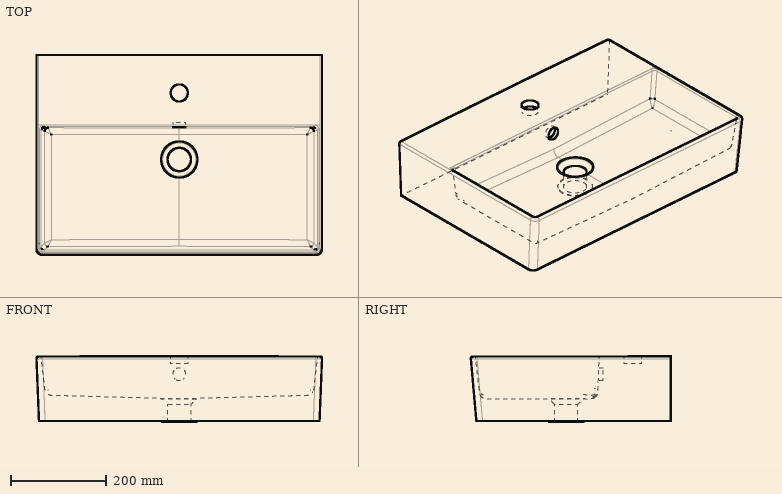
import cadquery as cq
import math

WIDTH = 599.5
DEPTH = 419.5
RIM_HEIGHT = 135.5
SIDE_DRAFT = 5.5
FRONT_DRAFT = 12.0
CORNER_RADIUS = 13.0
RIM_ROUND = 5.0
BASE_ROUND = 1.0

RIM_WIDTH = 9.5
BOWL_BACK = 150.5
BOWL_SIDE_DEPTH = 81.0
BOWL_CENTRE_DEPTH = 89.0
BOWL_WALL_DRAFT = 10.0
BOWL_BACK_DRAFT = 3.0
BOWL_CORNER_RADIUS = 7.0
BOWL_FLOOR_ROUND = 14.5
BOWL_EDGE_ROUND = 3.5

DECK_CROWN = 1.0
DECK_LAYER = 6.0

DRAIN_FROM_BACK = 219.5
DRAIN_DIAMETER = 48.5
DRAIN_MOUTH_DIAMETER = 72.5
DRAIN_MOUTH_DEPTH = 12.0
DRAIN_MOUTH_BLEND = 2.0
DRAIN_BOSS_DIAMETER = 73.0
DRAIN_BOSS_HEIGHT = 2.0

TAP_FROM_BACK = 80.0
TAP_DIAMETER = 36.0
TAP_DEPTH = 14.5
OVERFLOW_DIAMETER = 27.0
OVERFLOW_BELOW_RIM = 37.0
OVERFLOW_DEPTH = 8.5


def loft_between(lower, upper):
    """Ruled solid between two closed outlines."""
    return cq.Workplane(cq.Solid.makeLoft([lower, upper], True))


def rectangle(half_width, front, back, z):
    """Horizontal rectangle, symmetric about x = 0."""
    corners = [
        cq.Vector(-half_width, front, z),
        cq.Vector(half_width, front, z),
        cq.Vector(half_width, back, z),
        cq.Vector(-half_width, back, z),
    ]
    return cq.Wire.makePolygon(corners, close=True)


def rim_overhang(draft):
    """How far a drafted wall must overshoot so that its rounded rim keeps the full size."""
    lean = math.atan(draft / RIM_HEIGHT)
    return RIM_ROUND * (math.tan(math.pi / 4 + lean / 2) - 1)


def make_body():
    """Drafted block with rounded front corners, rim and base."""
    half_width = WIDTH / 2 + rim_overhang(SIDE_DRAFT)
    front = -DEPTH - rim_overhang(FRONT_DRAFT)
    body = loft_between(
        rectangle(half_width - SIDE_DRAFT, front + FRONT_DRAFT, 0, 0),
        rectangle(half_width, front, 0, RIM_HEIGHT),
    )
    body = body.faces("<Y").edges("not |X").fillet(CORNER_RADIUS)
    body = body.faces(">Z").edges("not >Y").fillet(RIM_ROUND)
    return body.faces("<Z").edges("not >Y").fillet(BASE_ROUND)


def make_bowl():
    """Space inside the bowl: drafted walls and a floor that falls from both sides to the centre line."""
    half_width = WIDTH / 2 - RIM_WIDTH
    front = -DEPTH + RIM_WIDTH
    centre_floor = RIM_HEIGHT - BOWL_CENTRE_DEPTH
    side_floor = RIM_HEIGHT - BOWL_SIDE_DEPTH
    foot_back = -BOWL_BACK - BOWL_BACK_DRAFT
    block = loft_between(
        rectangle(half_width - BOWL_WALL_DRAFT, front + BOWL_WALL_DRAFT, foot_back, centre_floor),
        rectangle(half_width, front, -BOWL_BACK, RIM_HEIGHT),
    )
    above_right_floor = (
        cq.Workplane("XZ")
        .moveTo(0, centre_floor)
        .lineTo(half_width, side_floor)
        .lineTo(half_width, RIM_HEIGHT)
        .lineTo(0, RIM_HEIGHT)
        .close()
        .extrude(DEPTH)
    )
    right_half = block.intersect(above_right_floor)

    floor_edges = cq.selectors.BoxSelector(
        (RIM_WIDTH, -DEPTH, 0), (WIDTH, 0, side_floor + BOWL_FLOOR_ROUND / 2)
    )
    wall_corners = cq.selectors.BoxSelector(
        (half_width - BOWL_WALL_DRAFT, -DEPTH, side_floor + BOWL_FLOOR_ROUND),
        (WIDTH, 0, RIM_HEIGHT - BOWL_EDGE_ROUND),
    )
    right_half = right_half.edges(floor_edges).fillet(BOWL_FLOOR_ROUND)
    right_half = right_half.edges(wall_corners).fillet(BOWL_CORNER_RADIUS)
    return right_half.union(right_half.mirror("YZ"))


def make_deck():
    """Thin layer forming the deck surface, straight at the bowl and arched at the back."""
    half_width = WIDTH / 2 - RIM_ROUND
    base = RIM_HEIGHT - DECK_LAYER
    front = -BOWL_BACK + BOWL_EDGE_ROUND

    def section(y, top_edge):
        """Upright outline across the deck at y, closed on top by the given edge."""
        left_low = cq.Vector(-half_width, y, base)
        left_high = cq.Vector(-half_width, y, RIM_HEIGHT)
        right_low = cq.Vector(half_width, y, base)
        right_high = cq.Vector(half_width, y, RIM_HEIGHT)
        return cq.Wire.assembleEdges([
            cq.Edge.makeLine(left_low, left_high),
            top_edge(left_high, right_high),
            cq.Edge.makeLine(right_high, right_low),
            cq.Edge.makeLine(right_low, left_low),
        ])

    def arch(left, right):
        """Shallow arc rising to the deck crown."""
        return cq.Edge.makeThreePointArc(left, cq.Vector(0, left.y, RIM_HEIGHT + DECK_CROWN), right)

    return loft_between(section(front, cq.Edge.makeLine), section(0, arch))


def make_drain():
    """Drain opening: a conical mouth at the bowl floor with a blended lip above a straight hole."""
    mouth_height = RIM_HEIGHT - BOWL_CENTRE_DEPTH
    throat_height = mouth_height - DRAIN_MOUTH_DEPTH
    hole_radius = DRAIN_DIAMETER / 2
    mouth_radius = DRAIN_MOUTH_DIAMETER / 2
    cone_slope = math.atan2(DRAIN_MOUTH_DEPTH, mouth_radius - hole_radius)
    cone_end = (
        mouth_radius - DRAIN_MOUTH_BLEND * math.cos(cone_slope),
        mouth_height - DRAIN_MOUTH_BLEND * math.sin(cone_slope),
    )
    lip_radius = mouth_radius + DRAIN_MOUTH_BLEND
    return (
        cq.Workplane("XZ", origin=(0, -DRAIN_FROM_BACK, 0))
        .moveTo(0, -DRAIN_BOSS_HEIGHT)
        .lineTo(hole_radius, -DRAIN_BOSS_HEIGHT)
        .lineTo(hole_radius, throat_height)
        .lineTo(*cone_end)
        .tangentArcPoint((lip_radius, mouth_height), relative=False)
        .lineTo(lip_radius, RIM_HEIGHT)
        .lineTo(0, RIM_HEIGHT)
        .close()
        .revolve(360, (0, 0, 0), (0, 1, 0))
    )


def upright_cylinder(diameter, from_back, z_low, z_high):
    """Vertical cylinder on the centre plane, at a distance in front of the back face."""
    return cq.Workplane("XY", origin=(0, -from_back, z_low)).circle(diameter / 2).extrude(z_high - z_low)


def make_overflow():
    """Blind hole into the back wall of the bowl."""
    length = OVERFLOW_DEPTH + BOWL_BACK_DRAFT
    front = -BOWL_BACK - BOWL_BACK_DRAFT
    return (
        cq.Workplane("XZ", origin=(0, front, RIM_HEIGHT - OVERFLOW_BELOW_RIM))
        .circle(OVERFLOW_DIAMETER / 2)
        .extrude(-length)
    )


def round_bowl_edge(body):
    """Round the edge where the bowl opens into the rim and the deck."""
    inside_rim = RIM_WIDTH / 2
    opening = cq.selectors.BoxSelector(
        (-WIDTH / 2 + inside_rim, -DEPTH + inside_rim, RIM_HEIGHT - BASE_ROUND),
        (WIDTH / 2 - inside_rim, -BOWL_BACK + BOWL_EDGE_ROUND, RIM_HEIGHT + BASE_ROUND),
    )
    return body.edges(opening).fillet(BOWL_EDGE_ROUND)


drain_boss = upright_cylinder(DRAIN_BOSS_DIAMETER, DRAIN_FROM_BACK, -DRAIN_BOSS_HEIGHT, BASE_ROUND)
tap_hole = upright_cylinder(TAP_DIAMETER, TAP_FROM_BACK, RIM_HEIGHT - TAP_DEPTH, RIM_HEIGHT + DECK_CROWN)

basin = round_bowl_edge(make_body().cut(make_bowl()))
basin = basin.union(make_deck()).union(drain_boss)
result = basin.cut(make_drain()).cut(tap_hole).cut(make_overflow())